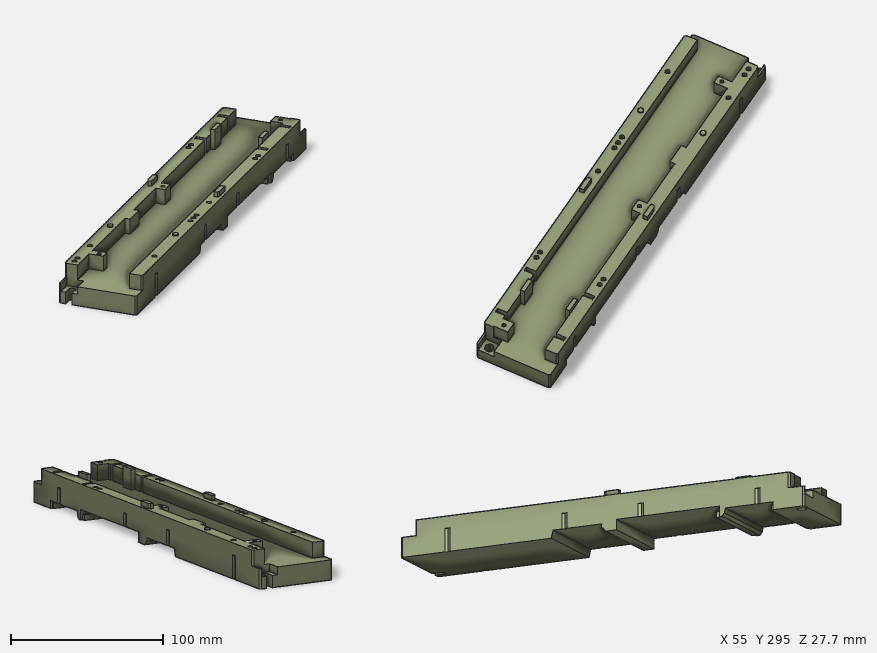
import cadquery as cq

LENGTH = 295.0
WIDTH = 55.0
FLOOR_Z = 13.5
WALL_Z = 24.2
TAB_Z = 27.7
CORNER_CHAMFER = 1.2

HALF_L = LENGTH / 2
HALF_W = WIDTH / 2

WALL_END_Y = 137.2
WALL_INNER_X = 18.3

PAD_Z = 8.3
PAD_INNER_X = 14.2
SKIN = 1.5
MOUNT_X = 20.5
MOUNT_HOLE_Y = 142.5
MOUNT_HOLE_D = 6.2
MOUNT_SLOT_W = 4.5
MOUNT_SLOT_END_Y = -139.5

SCREW_HOLE_D = 2.7
SCREW_HOLE_DEPTH = 6.0
REAR_NOTCH_Y = 136.3
BLOCKS = [
    (-WALL_INNER_X, -11.8, -1.8, 7.7),
    (-WALL_INNER_X, -14.8, -55.0, -39.5),
    (-WALL_INNER_X, -8.3, -117.5, -111.2),
    (10.0, WALL_INNER_X, 127.7, REAR_NOTCH_Y),
]
SCREW_HOLES = [(-15.0, 2.7), (-12.5, -114.5), (15.0, 132.5)]

CROSS_SLOT_YS = [123.5, 84.5]
CROSS_SLOT_W = 3.0
CROSS_SLOT_END_X = 25.5

INNER_TAB_X = 15.3
INNER_TAB_Y = (93.2, 103.8)
OUTER_TAB_X = (22.0, 25.5)
OUTER_TAB_Y = (0.0, 10.5)
OUTER_TAB_BEVEL_X = 1.0
OUTER_TAB_BEVEL_Y = 1.8

WALL_HOLE_D = 3.2
WALL_HOLE_DEPTH = 6.0
WALL_HOLES = [
    (-23.5, 72.5), (-23.5, 67.5), (23.5, 72.5), (23.5, 67.5),
    (-22.7, -104.7), (-22.7, -126.5), (-22.7, -132.2),
    (22.7, -10.0), (22.7, -32.2), (22.7, -37.2), (22.7, -42.5), (22.7, -104.7),
]
PIN_D = 3.8
PIN_HEIGHT = 1.0
PINS = [(-22.5, -70.5), (22.5, -67.5)]

REAR_BLOCK_Y = 124.8
HOOK_Y = 85.5
SHALLOW_Z = 5.3
DEEP_Z = 7.0
FOOT_REAR_Y = 10.3
FOOT_FRONT_Y = -0.5
FOOT_BEVEL = 3.0
RECESSES = [
    [(REAR_BLOCK_Y, 0), (REAR_BLOCK_Y, SHALLOW_Z), (90.0, SHALLOW_Z), (89.5, 2.0), (87.5, 0)],
    [(HOOK_Y, 0), (HOOK_Y, DEEP_Z), (FOOT_REAR_Y, DEEP_Z), (FOOT_REAR_Y, 0)],
    [
        (FOOT_FRONT_Y + FOOT_BEVEL, 0), (FOOT_FRONT_Y, FOOT_BEVEL), (FOOT_FRONT_Y, SHALLOW_Z),
        (-36.0, SHALLOW_Z), (-37.5, 0),
    ],
]
LIP_Z = 3.8
LIPS = [(REAR_BLOCK_Y, 1.8), (HOOK_Y, 2.7)]
GROOVE_YS = [113.5, 28.0, -27.7, -113.3]
GROOVE_W = 3.8
GROOVE_DEPTH = 1.0
GROOVE_TOP_Z = 16.0


def box(x0, x1, y0, y1, z0, z1):
    """Axis-aligned box between two corners."""
    return cq.Workplane("XY").box(x1 - x0, y1 - y0, z1 - z0, centered=False).translate((x0, y0, z0))


def side_box(side, x0, x1, y0, y1, z0, z1):
    """Box given for the +X side, mirrored across X = 0 when side is -1."""
    near, far = sorted((side * x0, side * x1))
    return box(near, far, y0, y1, z0, z1)


def cylinders(points, diameter, z0, z1):
    """Upright cylinders at the given (x, y) points."""
    return cq.Workplane("XY", origin=(0, 0, z0)).pushPoints(points).circle(diameter / 2).extrude(z1 - z0)


def recess(points):
    """Cut through the full width, with its outline given as (y, z) points."""
    return cq.Workplane("YZ").polyline(points).close().extrude(HALF_W, both=True)


def outer_tab(side):
    """Tab near the outer edge of a wall, with its outer front corner bevelled."""
    inner_x, outer_x = OUTER_TAB_X
    front_y, rear_y = OUTER_TAB_Y
    outline = [
        (side * inner_x, front_y),
        (side * (outer_x - OUTER_TAB_BEVEL_X), front_y),
        (side * outer_x, front_y + OUTER_TAB_BEVEL_Y),
        (side * outer_x, rear_y),
        (side * inner_x, rear_y),
    ]
    return cq.Workplane("XY", origin=(0, 0, WALL_Z)).polyline(outline).close().extrude(TAB_Z - WALL_Z)


base = box(-HALF_W, HALF_W, -HALF_L, HALF_L, 0, FLOOR_Z).edges("|Z").chamfer(CORNER_CHAMFER)
upper = box(-HALF_W, HALF_W, -WALL_END_Y, WALL_END_Y, FLOOR_Z, WALL_Z).edges("|Z").chamfer(CORNER_CHAMFER)
channel = box(-WALL_INNER_X, WALL_INNER_X, -HALF_L, HALF_L, FLOOR_Z, WALL_Z)
body = base.union(upper.cut(channel))

for x0, x1, y0, y1 in BLOCKS:
    body = body.union(box(x0, x1, y0, y1, FLOOR_Z, WALL_Z))
body = body.cut(box(WALL_INNER_X, MOUNT_X, REAR_NOTCH_Y, WALL_END_Y, FLOOR_Z, WALL_Z))

for side in (-1, 1):
    for y in CROSS_SLOT_YS:
        half = CROSS_SLOT_W / 2
        body = body.cut(side_box(side, WALL_INNER_X, CROSS_SLOT_END_X, y - half, y + half, FLOOR_Z, WALL_Z))
    inner_tab = side_box(side, INNER_TAB_X, WALL_INNER_X, *INNER_TAB_Y, FLOOR_Z, TAB_Z)
    body = body.union(inner_tab).union(outer_tab(side))

pad_outer_x = HALF_W - SKIN
body = body.cut(box(-pad_outer_x, -PAD_INNER_X, -HALF_L, -WALL_END_Y, PAD_Z, FLOOR_Z))
body = body.cut(box(PAD_INNER_X, pad_outer_x, WALL_END_Y, HALF_L, PAD_Z, FLOOR_Z))
body = body.cut(cylinders([(MOUNT_X, MOUNT_HOLE_Y)], MOUNT_HOLE_D, 0, PAD_Z))
slot_radius = MOUNT_SLOT_W / 2
slot_center_y = MOUNT_SLOT_END_Y - slot_radius
slot_x0 = -MOUNT_X - slot_radius
body = body.cut(cylinders([(-MOUNT_X, slot_center_y)], MOUNT_SLOT_W, 0, PAD_Z))
body = body.cut(box(slot_x0, slot_x0 + MOUNT_SLOT_W, -HALF_L, slot_center_y, 0, PAD_Z))

body = body.cut(cylinders(WALL_HOLES, WALL_HOLE_D, WALL_Z - WALL_HOLE_DEPTH, WALL_Z))
body = body.cut(cylinders(SCREW_HOLES, SCREW_HOLE_D, WALL_Z - SCREW_HOLE_DEPTH, WALL_Z))
body = body.union(cylinders(PINS, PIN_D, WALL_Z, WALL_Z + PIN_HEIGHT))

for outline in RECESSES:
    body = body.cut(recess(outline))

lip_half_width = HALF_W - SKIN
for face_y, reach in LIPS:
    body = body.union(box(-lip_half_width, lip_half_width, face_y - reach, face_y, 0, LIP_Z))

for side in (-1, 1):
    for y in GROOVE_YS:
        half = GROOVE_W / 2
        face_x = side * HALF_W
        profile = [(face_x, y - half), (face_x - side * GROOVE_DEPTH, y), (face_x, y + half)]
        body = body.cut(cq.Workplane("XY").polyline(profile).close().extrude(GROOVE_TOP_Z))

result = body